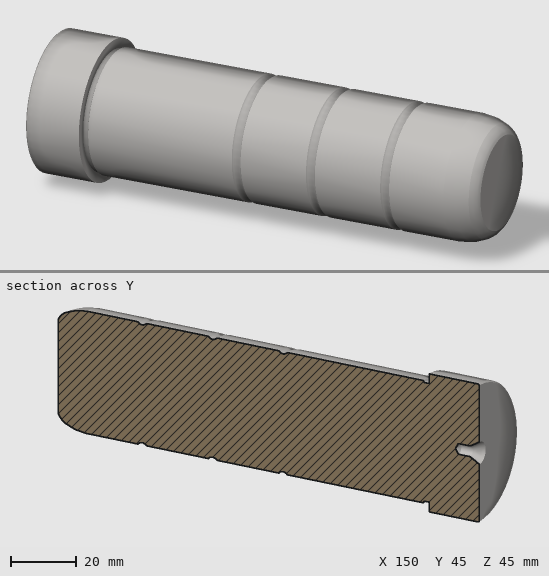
import cadquery as cq
import math

length = 150.0
head_radius = 22.5
head_length = 18.0
head_chamfer = 0.5
body_radius = 20.0

undercut_length = 2.0
undercut_depth = 0.6
undercut_slope = 0.3

groove_count = 3
first_groove_center = 69.9
groove_pitch = 25.0
groove_width = 3.0
groove_depth = 0.8

lead_in_start = 139.8
nose_start = 147.5
nose_start_radius = 18.0
nose_face_radius = 15.0

countersink_radius = 3.6
countersink_angle = 60.0
pilot_radius = 1.6
pilot_depth = 7.5
drill_tip_angle = 120.0


def cone_depth(large_radius, small_radius, included_angle):
    """Axial length of a cone between two radii."""
    return (large_radius - small_radius) / math.tan(math.radians(included_angle / 2))


def revolve_about_x(profile):
    return profile.close().revolve(360, (0, 0, 0), (1, 0, 0))


def make_pillar():
    undercut_end = head_length + undercut_length
    undercut_radius = body_radius - undercut_depth
    profile = (
        cq.Workplane("XY")
        .lineTo(0, head_radius - head_chamfer)
        .lineTo(head_chamfer, head_radius)
        .lineTo(head_length, head_radius)
        .lineTo(head_length, undercut_radius)
        .lineTo(undercut_end - undercut_slope, undercut_radius)
        .lineTo(undercut_end, body_radius)
    )
    for index in range(groove_count):
        center = first_groove_center + index * groove_pitch
        profile = profile.lineTo(center - groove_width / 2, body_radius).threePointArc(
            (center, body_radius - groove_depth),
            (center + groove_width / 2, body_radius),
        )
    profile = (
        profile.lineTo(lead_in_start, body_radius)
        .tangentArcPoint((nose_start, nose_start_radius), relative=False)
        .tangentArcPoint((length, nose_face_radius), relative=False)
        .lineTo(length, 0)
    )
    return revolve_about_x(profile)


def make_center_hole():
    countersink_depth = cone_depth(countersink_radius, pilot_radius, countersink_angle)
    tip_depth = pilot_depth + cone_depth(pilot_radius, 0, drill_tip_angle)
    profile = (
        cq.Workplane("XY")
        .lineTo(0, countersink_radius)
        .lineTo(countersink_depth, pilot_radius)
        .lineTo(pilot_depth, pilot_radius)
        .lineTo(tip_depth, 0)
    )
    return revolve_about_x(profile)


result = make_pillar().cut(make_center_hole())